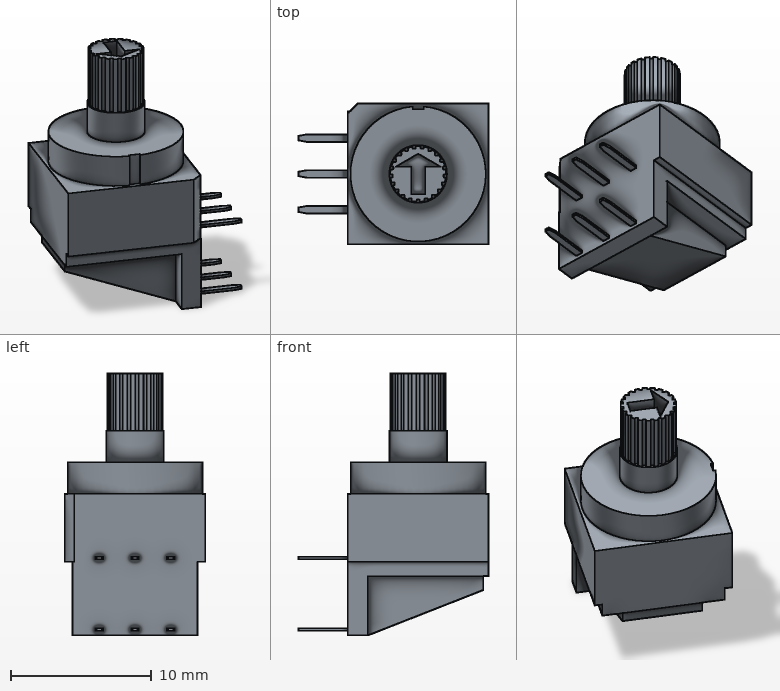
import cadquery as cq
import math


body_size = 10.0
body_middle = body_size / 2
body_bottom = 5.22
body_top = 10.05
corner_chamfer = 0.7

bracket_width = 8.9
bracket_plate_thickness = 1.0
bracket_leg_thickness = 1.43
bracket_plate_bottom = body_bottom - bracket_plate_thickness

wedge_width = 5.8
wedge_end = 9.63
wedge_end_height = 1.0
wedge_end_bottom = bracket_plate_bottom - wedge_end_height

pin_pitch = 2.54
pin_row_spacing = 2 * pin_pitch
pin_lower_height = 0.42
pin_length = 3.5
pin_embed = 0.5
pin_width = 0.55
pin_thickness = 0.2
pin_taper_length = 0.6
pin_tip_width = 0.33

dial_diameter = 9.6
dial_top = 12.3
notch_width = 0.8
notch_depth = 0.2

shaft_diameter = 4.1
shaft_shoulder = 14.53
shaft_top = 18.6
knurl_diameter = 3.95
groove_count = 21
first_groove_angle = -90
groove_width = 0.25
groove_depth = 0.18

arrow_half_length = 1.43
arrow_head_base = 0.51
arrow_tip_half_angle = 60
arrow_head_length = arrow_half_length - arrow_head_base
arrow_head_half_width = arrow_head_length * math.tan(math.radians(arrow_tip_half_angle))
arrow_stem_half_width = 0.5
arrow_depth = 1.5


def upright_cylinder(diameter, bottom, top):
    """Cylinder on the shaft axis between two heights."""
    base = cq.Workplane("XY", origin=(body_middle, 0, bottom))
    return base.circle(diameter / 2).extrude(top - bottom)


def make_housing():
    """Square housing with one chamfered vertical corner."""
    housing = (
        cq.Workplane("XY", origin=(body_middle, 0, body_bottom))
        .rect(body_size, body_size)
        .extrude(body_top - body_bottom)
    )
    return housing.edges("|Z and <X and >Y").chamfer(corner_chamfer)


def make_bracket():
    """L-shaped bracket: a plate under the housing and a leg on the terminal side."""
    outline = [
        (0, 0),
        (bracket_leg_thickness, 0),
        (bracket_leg_thickness, bracket_plate_bottom),
        (body_size, bracket_plate_bottom),
        (body_size, body_bottom),
        (0, body_bottom),
    ]
    return cq.Workplane("XZ").polyline(outline).close().extrude(bracket_width / 2, both=True)


def make_wedge():
    """Sloped brace in the inner corner of the bracket, narrower than the bracket."""
    outline = [
        (bracket_leg_thickness, 0),
        (wedge_end, wedge_end_bottom),
        (wedge_end, bracket_plate_bottom),
        (bracket_leg_thickness, bracket_plate_bottom),
    ]
    return cq.Workplane("XZ").polyline(outline).close().extrude(wedge_width / 2, both=True)


def make_pin(center_y, center_z):
    """Flat terminal pin with a tapered tip, its root embedded in the leg."""
    taper_start = pin_taper_length - pin_length
    outline = [
        (pin_embed, -pin_width / 2),
        (taper_start, -pin_width / 2),
        (-pin_length, -pin_tip_width / 2),
        (-pin_length, pin_tip_width / 2),
        (taper_start, pin_width / 2),
        (pin_embed, pin_width / 2),
    ]
    plane = cq.Workplane("XY", origin=(0, center_y, center_z))
    return plane.polyline(outline).close().extrude(pin_thickness / 2, both=True)


def make_dial():
    """Round dial with an index notch through its +Y rim."""
    dial = upright_cylinder(dial_diameter, body_top, dial_top)
    notch_center = dial_diameter / 2
    notch = (
        cq.Workplane("XY", origin=(body_middle, notch_center, body_top))
        .rect(notch_width, 2 * notch_depth)
        .extrude(dial_top - body_top)
    )
    return dial.cut(notch)


def make_groove(angle):
    """Round-bottomed knurl groove at an angle in degrees about the shaft axis."""
    radius = groove_width / 2
    bottom_center = knurl_diameter / 2 - groove_depth + radius
    mouth = shaft_diameter / 2
    return (
        cq.Workplane("XY")
        .moveTo(mouth, -radius)
        .lineTo(bottom_center, -radius)
        .threePointArc((bottom_center - radius, 0), (bottom_center, radius))
        .lineTo(mouth, radius)
        .close()
        .extrude(shaft_top - shaft_shoulder)
        .rotate((0, 0, 0), (0, 0, 1), angle)
        .translate((body_middle, 0, shaft_shoulder))
    )


def make_arrow_recess():
    """Cutter for the arrow recess, pointing toward +Y."""
    outline = [
        (0, arrow_half_length),
        (arrow_head_half_width, arrow_head_base),
        (arrow_stem_half_width, arrow_head_base),
        (arrow_stem_half_width, -arrow_half_length),
        (-arrow_stem_half_width, -arrow_half_length),
        (-arrow_stem_half_width, arrow_head_base),
        (-arrow_head_half_width, arrow_head_base),
    ]
    plane = cq.Workplane("XY", origin=(body_middle, 0, shaft_top))
    return plane.polyline(outline).close().extrude(-arrow_depth)


def make_shaft():
    """Plain shaft with a knurled upper end and an arrow recess in its top."""
    knurl = upright_cylinder(knurl_diameter, shaft_shoulder, shaft_top)
    for index in range(groove_count):
        knurl = knurl.cut(make_groove(first_groove_angle + index * 360 / groove_count))
    knurl = knurl.cut(make_arrow_recess())
    return upright_cylinder(shaft_diameter, dial_top, shaft_shoulder).union(knurl)


def make_part():
    part = make_housing()
    for piece in (make_bracket(), make_wedge(), make_dial(), make_shaft()):
        part = part.union(piece)
    for pin_height in (pin_lower_height, pin_lower_height + pin_row_spacing):
        for pin_y in (-pin_pitch, 0, pin_pitch):
            part = part.union(make_pin(pin_y, pin_height))
    return part


result = make_part()